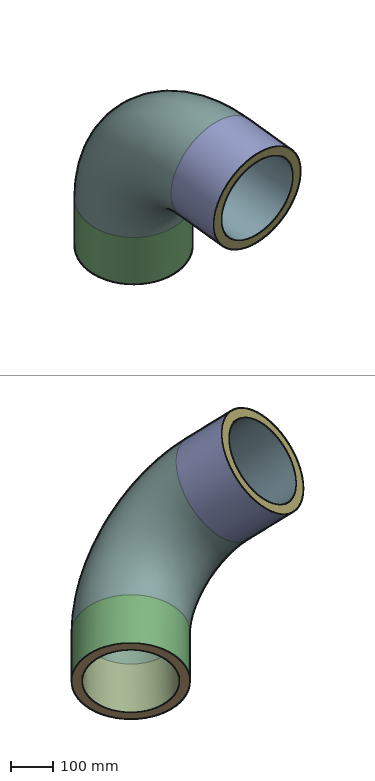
import cadquery as cq

overall_length = 569.0
outer_diameter = 280.0
bore_diameter = 229.5

bend_radius = outer_diameter
leg_length = overall_length - bend_radius - outer_diameter / 2


def elbow_solid(diameter):
    """Round bar running up the vertical leg, round the bend and out along +X."""
    vertical_leg = cq.Workplane("XY").circle(diameter / 2).extrude(leg_length)
    bend = (
        cq.Workplane("XY", origin=(0, 0, leg_length))
        .circle(diameter / 2)
        .revolve(90, (bend_radius, 0, 0), (bend_radius, 1, 0))
    )
    horizontal_leg = (
        cq.Workplane("YZ", origin=(bend_radius, 0, leg_length + bend_radius))
        .circle(diameter / 2)
        .extrude(leg_length)
    )
    return vertical_leg.union(bend).union(horizontal_leg)


result = elbow_solid(outer_diameter).cut(elbow_solid(bore_diameter))